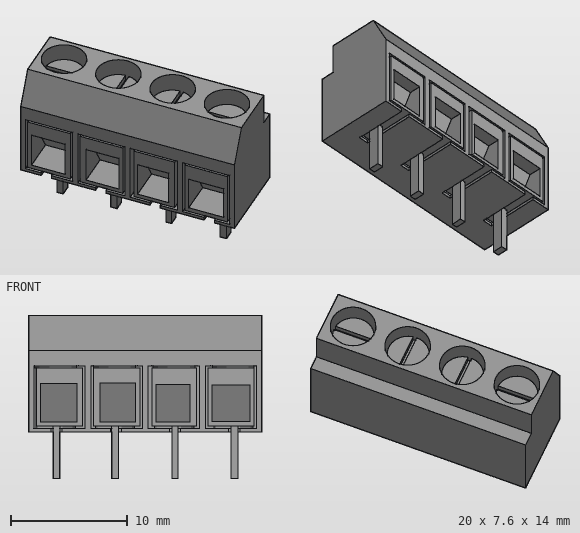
import cadquery as cq
import math


LENGTH = 20.0
DEPTH = 7.6
HEIGHT = 14.0
BASE_Z = 4.0
SLOPE_Z = 11.0
SLOPE_DEPTH = 1.5
LEDGE_DEPTH = 1.28

TERMINAL_COUNT = 4
POCKET_PITCH = 4.9
POCKET_WIDTH = 4.4
POCKET_DEPTH = 4.98
POCKET_FLOOR_Z = 4.3
POCKET_TOP_Z = 9.68

SHAFT_DIAMETER = 3.9
SHAFT_PITCH = 5.08
SHAFT_FIRST_X = 2.32
SHAFT_Y = 4.0

PIN_SLOT_WIDTH = 0.95
PIN_SLOT_FIRST_X = 2.4

CLAMP_BOTTOM_Z = 4.5
CLAMP_TOP_Z = 9.5
WINDOW_FOOT_DEPTH = 3.0
WINDOW_BACK_ANGLE = 30.0
SCREW_TOP_Z = 12.5
SCREW_SLOT_DEPTH = 0.5
PIN_FRONT_Y = 2.98
PIN_DEPTH = 1.0

TERMINALS = [
    dict(clamp=(0.65, 4.65), window=(1.02, 4.15), window_z=(4.85, 8.15), pin=(2.1, 2.68),
         screw=(2.32, 4.0), screw_diameter=3.6, slot_along="X", slot_place=4.05, slot_width=0.38),
    dict(clamp=(5.55, 9.55), window=(6.12, 9.18), window_z=(4.85, 8.22), pin=(7.12, 7.72),
         screw=(7.38, 3.98), screw_diameter=3.6, slot_along="Y", slot_place=7.45, slot_width=0.32),
    dict(clamp=(10.58, 14.4), window=(10.95, 13.85), window_z=(4.85, 8.1), pin=(12.28, 12.82),
         screw=(12.48, 3.88), screw_diameter=3.6, slot_along="Y", slot_place=12.6, slot_width=0.32),
    dict(clamp=(15.35, 19.35), window=(15.72, 18.98), window_z=(4.9, 8.05), pin=(17.35, 17.95),
         screw=(17.55, 3.98), screw_diameter=3.55, slot_along="X", slot_place=3.88, slot_width=0.35),
]


def block(x_span, y_span, z_span):
    """A box given by its low and high limits along each axis."""
    size = [high - low for low, high in (x_span, y_span, z_span)]
    corner = (x_span[0], y_span[0], z_span[0])
    return cq.Workplane("XY").box(*size, centered=False).translate(corner)


def span_about(middle, width):
    """The low and high limits of a width centred on a place."""
    return (middle - width / 2, middle + width / 2)


def upright_cylinder(x, y, diameter, z_span):
    """A vertical cylinder between two heights."""
    low, high = z_span
    return cq.Workplane("XY", origin=(x, y, low)).circle(diameter / 2).extrude(high - low)


def make_housing():
    """The insulating block, with a wire pocket, a screw shaft and a pin slot for each terminal."""
    profile = [
        (0, BASE_Z),
        (DEPTH, BASE_Z),
        (DEPTH, SLOPE_Z),
        (DEPTH - LEDGE_DEPTH, SLOPE_Z),
        (DEPTH - LEDGE_DEPTH, HEIGHT),
        (SLOPE_DEPTH, HEIGHT),
        (0, SLOPE_Z),
    ]
    housing = cq.Workplane("YZ").polyline(profile).close().extrude(LENGTH)

    for i in range(TERMINAL_COUNT):
        pocket_x = LENGTH / 2 + (i - (TERMINAL_COUNT - 1) / 2) * POCKET_PITCH
        shaft_x = SHAFT_FIRST_X + i * SHAFT_PITCH
        pin_slot_x = PIN_SLOT_FIRST_X + i * SHAFT_PITCH

        pocket = block(span_about(pocket_x, POCKET_WIDTH), (0, POCKET_DEPTH), (POCKET_FLOOR_Z, POCKET_TOP_Z))
        shaft = upright_cylinder(shaft_x, SHAFT_Y, SHAFT_DIAMETER, (POCKET_FLOOR_Z, HEIGHT))
        pin_slot = block(span_about(pin_slot_x, PIN_SLOT_WIDTH), (0, POCKET_DEPTH), (BASE_Z, POCKET_FLOOR_Z))
        housing = housing.cut(pocket).cut(shaft).cut(pin_slot)
    return housing


def make_wire_window(x_span, z_span):
    """The wire opening of a clamp, whose back wall leans forward towards the top."""
    low, high = z_span
    top_depth = WINDOW_FOOT_DEPTH - (high - low) * math.tan(math.radians(WINDOW_BACK_ANGLE))
    profile = [(0, low), (WINDOW_FOOT_DEPTH, low), (top_depth, high), (0, high)]
    left, right = x_span
    return cq.Workplane("YZ", origin=(left, 0, 0)).polyline(profile).close().extrude(right - left)


def make_screw_head(screw, screw_diameter, slot_along, slot_place, slot_width):
    """The round screw head standing on the clamp, with a driver slot right across its top."""
    x, y = screw
    head = upright_cylinder(x, y, screw_diameter, (CLAMP_TOP_Z, SCREW_TOP_Z))
    across = span_about(slot_place, slot_width)
    slot_z = (SCREW_TOP_Z - SCREW_SLOT_DEPTH, SCREW_TOP_Z)
    if slot_along == "X":
        slot = block(span_about(x, screw_diameter), across, slot_z)
    else:
        slot = block(across, span_about(y, screw_diameter), slot_z)
    return head.cut(slot)


def make_terminal(clamp, window, window_z, pin, **screw_sizes):
    """One terminal: clamp block with its wire window, screw head and solder pin in one piece."""
    body = block(clamp, (0, POCKET_DEPTH), (CLAMP_BOTTOM_Z, CLAMP_TOP_Z))
    body = body.cut(make_wire_window(window, window_z))
    body = body.union(make_screw_head(**screw_sizes))
    return body.union(block(pin, (PIN_FRONT_Y, PIN_FRONT_Y + PIN_DEPTH), (0, CLAMP_BOTTOM_Z)))


housing = make_housing()
terminals = [make_terminal(**sizes) for sizes in TERMINALS]

result = cq.Compound.makeCompound([housing.val(), *[terminal.val() for terminal in terminals]])